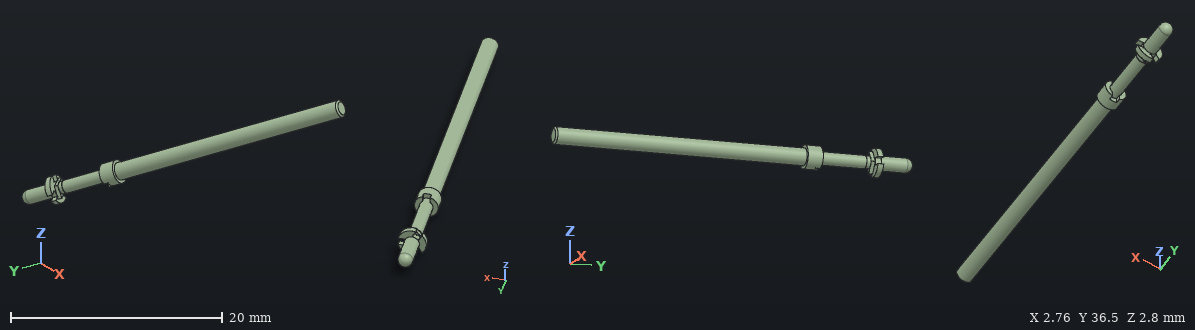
import cadquery as cq

TOTAL_LENGTH = 36.5

BARREL_DIAMETER = 1.7
BARREL_RADIUS = BARREL_DIAMETER / 2
TAIL_CHAMFER_LENGTH = 0.15
TAIL_CHAMFER_DEPTH = 0.22

COLLAR_RADIUS = 1.15
COLLAR_BACK = 25.48
COLLAR_FRONT = 27.0
COLLAR_SLOT_WIDTH = 0.75
COLLAR_SLOT_LENGTH = 0.47

SHAFT_RADIUS = 0.65
SHAFT_FRONT = 31.65
NECK_RADIUS = 0.62
HUB_BACK = 32.1
HUB_WIDTH = 2 * SHAFT_RADIUS
HUB_HEIGHT = 2.2
DISC_DIAMETER = 2.8
DISC_RADIUS = DISC_DIAMETER / 2
DISC_BACK = 32.5
DISC_FRONT = 33.07
TIP_RADIUS = 0.73

NOTCH_COUNT = 3
NOTCH_WIDTH = 0.7
NOTCH_FLOOR_RADIUS = TIP_RADIUS


def section_plane(y):
    """Plane across the probe at the given Y: local x is X, local y is Z, normal is -Y."""
    return cq.Workplane("XZ", origin=(0, y, 0))


def cylinder(radius, back, front):
    """Round section of the probe between two Y positions."""
    return section_plane(front).circle(radius).extrude(front - back)


def make_barrel():
    """Long barrel with a chamfered tail end."""
    profile = [
        (0, 0),
        (BARREL_RADIUS - TAIL_CHAMFER_DEPTH, 0),
        (BARREL_RADIUS, TAIL_CHAMFER_LENGTH),
        (BARREL_RADIUS, COLLAR_BACK),
        (0, COLLAR_BACK),
    ]
    return cq.Workplane("XY").polyline(profile).close().revolve(360, (0, 0), (0, 1))


def make_collar():
    """Collar with one slot above and one below the shaft, open towards the tip."""
    slots = (
        section_plane(COLLAR_FRONT)
        .rect(COLLAR_SLOT_WIDTH, 2 * COLLAR_RADIUS)
        .extrude(COLLAR_SLOT_LENGTH)
    )
    return cylinder(COLLAR_RADIUS, COLLAR_BACK, COLLAR_FRONT).cut(slots)


def make_shaft():
    """Plunger shaft that fills the collar bore, then the thinner neck."""
    shaft = cylinder(SHAFT_RADIUS, COLLAR_BACK, SHAFT_FRONT)
    return shaft.union(cylinder(NECK_RADIUS, SHAFT_FRONT, HUB_BACK))


def make_hub():
    """Diamond-shaped hub behind the disc, taller along Z than along X."""
    half_width = HUB_WIDTH / 2
    half_height = HUB_HEIGHT / 2
    return (
        section_plane(DISC_BACK)
        .polyline([(half_width, 0), (0, half_height), (-half_width, 0), (0, -half_height)])
        .close()
        .extrude(DISC_BACK - HUB_BACK)
    )


def make_disc():
    """Round disc with evenly spaced, flat-floored notches; the first one faces +X."""
    disc = cylinder(DISC_RADIUS, DISC_BACK, DISC_FRONT)
    notch = (
        section_plane(DISC_FRONT)
        .center(NOTCH_FLOOR_RADIUS + DISC_RADIUS / 2, 0)
        .rect(DISC_RADIUS, NOTCH_WIDTH)
        .extrude(DISC_FRONT - DISC_BACK)
    )
    for index in range(NOTCH_COUNT):
        disc = disc.cut(notch.rotate((0, 0, 0), (0, 1, 0), index * 360 / NOTCH_COUNT))
    return disc


def make_tip():
    """Plunger tip ending in a hemisphere."""
    dome_center = TOTAL_LENGTH - TIP_RADIUS
    dome = cq.Workplane("XY").sphere(TIP_RADIUS).translate((0, dome_center, 0))
    return cylinder(TIP_RADIUS, DISC_BACK, dome_center).union(dome)


result = make_barrel()
for section in (make_collar(), make_shaft(), make_hub(), make_disc(), make_tip()):
    result = result.union(section)